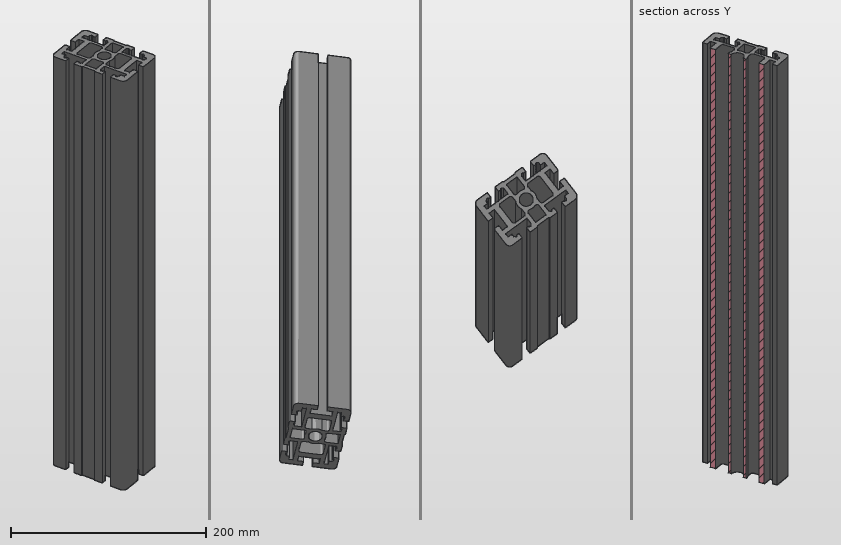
import cadquery as cq

width = 90.0
depth = 60.0
length = 500.0
half_width = width / 2
half_depth = depth / 2
corner_radius = 5.0

mouth_width = 10.0
mouth_bevel_width = 1.5
mouth_bevel_drop = 0.3
slot_inner_width = 22.5

slot_pitch = width / 2
long_slot_depth = 13.8
long_lip_thickness = 5.0
hook_height = 1.0
hook_width = 3.0
slot_corner_bevel = 1.5
undercut_depth = 9.5
undercut_reach = 38.5

short_slot_depth = 12.5
short_lip_thickness = 6.0

bore_radius = 7.1
hub_radius = 11.0
large_cell_inner = 9.75
large_cell_outer = 26.0
large_cell_half_height = 12.75
large_cell_radius = 2.5
small_cell_width = 13.5
small_cell_bottom = 10.5
small_cell_top = 25.0
small_cell_radius = 2.0

recess_floor_width = 14.5
recess_mouth_width = 16.0
recess_depth = 1.0


def bar(x_min, x_max, y_min, y_max):
    """Full-length rectangular bar between two X and two Y limits."""
    return (
        cq.Workplane("XY")
        .center((x_min + x_max) / 2, (y_min + y_max) / 2)
        .rect(x_max - x_min, y_max - y_min)
        .extrude(length)
    )


def round_bar(radius):
    """Full-length cylinder on the Z axis."""
    return cq.Workplane("XY").circle(radius).extrude(length)


def four_way(cutter):
    """Copy a cutter from the +X +Y quadrant into all four quadrants."""
    pair = cutter.union(cutter.mirror("YZ"))
    return pair.union(pair.mirror("XZ"))


def both_x(cutter):
    """Copy a cutter on the +X side to the -X side."""
    return cutter.union(cutter.mirror("YZ"))


def both_y(cutter):
    """Copy a cutter on the +Y side to the -Y side."""
    return cutter.union(cutter.mirror("XZ"))


def long_slot():
    """T-slot in the +Y face: mouth, hooked lips and a low undercut towards the corner."""
    centre = slot_pitch / 2
    mouth_left = centre - mouth_width / 2
    mouth_right = centre + mouth_width / 2
    inner_left = centre - slot_inner_width / 2
    inner_right = centre + slot_inner_width / 2
    floor = half_depth - long_slot_depth
    lip = half_depth - long_lip_thickness
    hook = lip - hook_height
    undercut = half_depth - undercut_depth
    return (
        cq.Workplane("XY")
        .moveTo(mouth_left, half_depth)
        .lineTo(mouth_left, hook)
        .lineTo(mouth_left - hook_width, hook)
        .lineTo(mouth_left - hook_width, lip)
        .lineTo(inner_left + slot_corner_bevel, lip)
        .lineTo(inner_left, lip - slot_corner_bevel)
        .lineTo(inner_left, floor)
        .lineTo(undercut_reach, floor)
        .lineTo(undercut_reach, undercut)
        .lineTo(inner_right, undercut)
        .lineTo(inner_right, lip - slot_corner_bevel)
        .lineTo(inner_right - slot_corner_bevel, lip)
        .lineTo(mouth_right + hook_width, lip)
        .lineTo(mouth_right + hook_width, hook)
        .lineTo(mouth_right, hook)
        .lineTo(mouth_right, half_depth)
        .close()
        .extrude(length)
    )


def short_slot():
    """Plain T-slot in the +X face."""
    floor = half_width - short_slot_depth
    lip = half_width - short_lip_thickness
    mouth = bar(floor, half_width, -mouth_width / 2, mouth_width / 2)
    chamber = bar(floor, lip, -slot_inner_width / 2, slot_inner_width / 2)
    return mouth.union(chamber)


def large_cell():
    """Hollow on the +X side of the hub, with rounded corners."""
    cell = bar(large_cell_inner, large_cell_outer, -large_cell_half_height, large_cell_half_height)
    return cell.edges("|Z").fillet(large_cell_radius).cut(round_bar(hub_radius))


def small_cell():
    """Hollow on the +Y side of the hub, with rounded inner corners and the hub bulging in."""
    half_cell = small_cell_width / 2
    cell = bar(-half_cell, half_cell, small_cell_bottom, small_cell_top)
    return cell.faces("<Y").edges("|Z").fillet(small_cell_radius).cut(round_bar(hub_radius))


def trapezoid(outer_width, inner_width, outer_y, drop):
    """Full-length trapezoidal bar, centred on X, narrowing from outer_y towards -Y."""
    return (
        cq.Workplane("XY")
        .moveTo(-outer_width / 2, outer_y)
        .lineTo(-inner_width / 2, outer_y - drop)
        .lineTo(inner_width / 2, outer_y - drop)
        .lineTo(outer_width / 2, outer_y)
        .close()
        .extrude(length)
    )


def face_recess():
    """Shallow recess with sloping sides in the +Y face."""
    return trapezoid(recess_mouth_width, recess_floor_width, half_depth, recess_depth)


def mouth_bevel(outer_y):
    """Shallow bevel on both sides of a slot mouth that opens at outer_y."""
    outer_width = mouth_width + 2 * mouth_bevel_width
    return trapezoid(outer_width, mouth_width, outer_y, mouth_bevel_drop)


long_bevel = mouth_bevel(half_depth).translate((slot_pitch / 2, 0, 0))
short_bevel = mouth_bevel(half_width).rotate((0, 0, 0), (0, 0, 1), -90)

profile = bar(-half_width, half_width, -half_depth, half_depth)
profile = profile.edges("|Z").fillet(corner_radius)
profile = profile.cut(four_way(long_slot()))
profile = profile.cut(both_x(short_slot()))
profile = profile.cut(four_way(long_bevel))
profile = profile.cut(both_x(short_bevel))
profile = profile.cut(both_x(large_cell()))
profile = profile.cut(both_y(small_cell()))
profile = profile.cut(both_y(face_recess()))
profile = profile.cut(round_bar(bore_radius))

result = profile